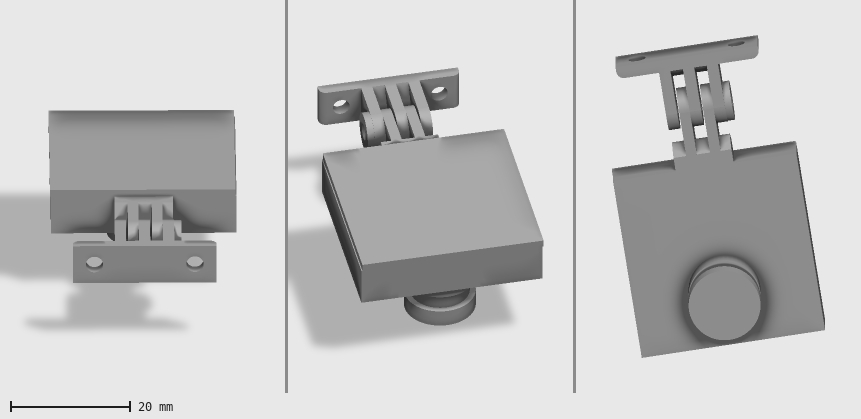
import cadquery as cq
import math

ARM_ANGLE = -30.0

KNOB_DIAMETER = 12.0
GROOVE_DIAMETER = 10.0
KNOB_FLANGE_HEIGHT = 3.0
GROOVE_HEIGHT = 3.0
KNOB_HEIGHT = 10.0

HOUSING_SIDE = 31.0
HOUSING_HEIGHT = 6.8
HOUSING_OFFSET = 6.0
LID_HEIGHT = 1.2
LID_SHIFT = 0.2

PIVOT_X = 31.35
FINGER_HOLE_DIAMETER = 3.0
LUG_WIDTH = 9.8
LUG_STOP_X = 23.9
STOP_SLOPE = 30.0
STOP_TIP_RADIUS = 1.3
PITCH = 4.0
FINGER_WIDTH = 1.8
ARM_WIDTH = 1.9
BOSS_LENGTH = 1.2
BOSS_DIAMETER = 6.6

PLATE_INNER_X = 38.85
PLATE_THICKNESS = 2.05
PLATE_LENGTH = 24.05
PLATE_FILLET = 1.25
BRACKET_HOLE_DIAMETER = 2.9
PLATE_HOLE_SPACING = 16.8

HOUSING_END_X = HOUSING_OFFSET + HOUSING_SIDE / 2
HOUSING_TOP_Z = KNOB_HEIGHT + HOUSING_HEIGHT
PIVOT_Z = KNOB_HEIGHT + HOUSING_HEIGHT / 2
EYE_RADIUS = HOUSING_HEIGHT / 2
PLATE_OUTER_X = PLATE_INNER_X + PLATE_THICKNESS
ARM_CENTRES = [-PITCH, 0.0, PITCH]
ARM_OUTER_Y = PITCH + ARM_WIDTH / 2
FINGER_TOPS = [y - ARM_WIDTH / 2 for y in ARM_CENTRES[1:]]


def box(x_start, x_end, y_start, y_end, z_start, height):
    """A box from its X and Y limits, its bottom and its height."""
    size_x = x_end - x_start
    size_y = y_end - y_start
    corner = (x_start, y_start, z_start)
    return cq.Workplane("XY", origin=corner).box(size_x, size_y, height, centered=False)


def cylinder_y(radius, y_start, y_end):
    """A cylinder on the pivot axis, which runs along Y."""
    plane = cq.Workplane("XZ", origin=(PIVOT_X, y_end, PIVOT_Z))
    return plane.circle(radius).extrude(y_end - y_start)


def hinge_leaf(root_x, y_start, y_end):
    """A flat leaf from its root to the pivot, with a full round end about the pivot."""
    leaf = box(min(root_x, PIVOT_X), max(root_x, PIVOT_X), y_start, y_end, KNOB_HEIGHT, HOUSING_HEIGHT)
    return leaf.union(cylinder_y(EYE_RADIUS, y_start, y_end))


def drill_pivot(body, diameter):
    """Cut the pivot hole through every leaf of the body."""
    return body.cut(cylinder_y(diameter / 2, -HOUSING_SIDE, HOUSING_SIDE))


def make_knob():
    upper_height = KNOB_HEIGHT - KNOB_FLANGE_HEIGHT - GROOVE_HEIGHT
    return (
        cq.Workplane("XY")
        .circle(KNOB_DIAMETER / 2).extrude(KNOB_FLANGE_HEIGHT)
        .faces(">Z").workplane().circle(GROOVE_DIAMETER / 2).extrude(GROOVE_HEIGHT)
        .faces(">Z").workplane().circle(KNOB_DIAMETER / 2).extrude(upper_height)
    )


def stop_block(root_x, edge_x, width):
    """A block from its root to a V-shaped stop with a rounded tip that points at the pivot."""
    direction = math.copysign(1, edge_x - root_x)
    tip_x = edge_x + direction * HOUSING_HEIGHT / 2 * math.tan(math.radians(STOP_SLOPE))
    outline = [
        (root_x, KNOB_HEIGHT),
        (edge_x, KNOB_HEIGHT),
        (tip_x, PIVOT_Z),
        (edge_x, HOUSING_TOP_Z),
        (root_x, HOUSING_TOP_Z),
    ]
    block = cq.Workplane("XZ", origin=(0, width / 2, 0)).polyline(outline).close().extrude(width)
    tip_side = ">X" if direction > 0 else "<X"
    return block.edges("|Y").edges(tip_side).fillet(STOP_TIP_RADIUS)


def make_housing():
    """The square block with its knob below and the lug with two hinge fingers at its end."""
    half_side = HOUSING_SIDE / 2
    start_x = HOUSING_OFFSET - half_side
    housing = box(start_x, HOUSING_END_X, -half_side, half_side, KNOB_HEIGHT, HOUSING_HEIGHT)
    housing = housing.union(make_knob()).union(stop_block(HOUSING_END_X, LUG_STOP_X, LUG_WIDTH))
    for finger_top in FINGER_TOPS:
        housing = housing.union(hinge_leaf(HOUSING_END_X, finger_top - FINGER_WIDTH, finger_top))
    return drill_pivot(housing, FINGER_HOLE_DIAMETER)


def make_lid():
    half_side = HOUSING_SIDE / 2
    start_x = HOUSING_OFFSET - half_side
    lid = box(start_x, HOUSING_END_X, -half_side, half_side, HOUSING_TOP_Z, LID_HEIGHT)
    return lid.translate((0, -LID_SHIFT, 0))


def make_plate():
    """The wall plate, rounded on its two inner end edges, with two screw holes."""
    half_length = PLATE_LENGTH / 2
    plate = box(PLATE_INNER_X, PLATE_OUTER_X, -half_length, half_length, KNOB_HEIGHT, HOUSING_HEIGHT)
    plate = plate.edges("|Z and <X").fillet(PLATE_FILLET)
    hole_places = [(-PLATE_HOLE_SPACING / 2, 0), (PLATE_HOLE_SPACING / 2, 0)]
    holes = (
        cq.Workplane("YZ", origin=(PLATE_INNER_X, 0, PIVOT_Z))
        .pushPoints(hole_places).circle(BRACKET_HOLE_DIAMETER / 2).extrude(PLATE_THICKNESS)
    )
    return plate.cut(holes)


def make_bracket():
    """The wall plate with its three hinge arms, an end boss and the stop between the arms."""
    plate_stop = stop_block(PLATE_OUTER_X, PLATE_INNER_X, ARM_CENTRES[-1] - ARM_CENTRES[0])
    bracket = make_plate().union(plate_stop)
    for centre in ARM_CENTRES:
        bracket = bracket.union(hinge_leaf(PLATE_INNER_X, centre - ARM_WIDTH / 2, centre + ARM_WIDTH / 2))
    bracket = bracket.union(cylinder_y(BOSS_DIAMETER / 2, ARM_OUTER_Y, ARM_OUTER_Y + BOSS_LENGTH))
    return drill_pivot(bracket, BRACKET_HOLE_DIAMETER)


def place(body):
    return body.rotate((0, 0, 0), (0, 0, 1), ARM_ANGLE)


housing = place(make_housing())
lid = place(make_lid())
bracket = place(make_bracket())

result = cq.Compound.makeCompound([housing.val(), lid.val(), bracket.val()])